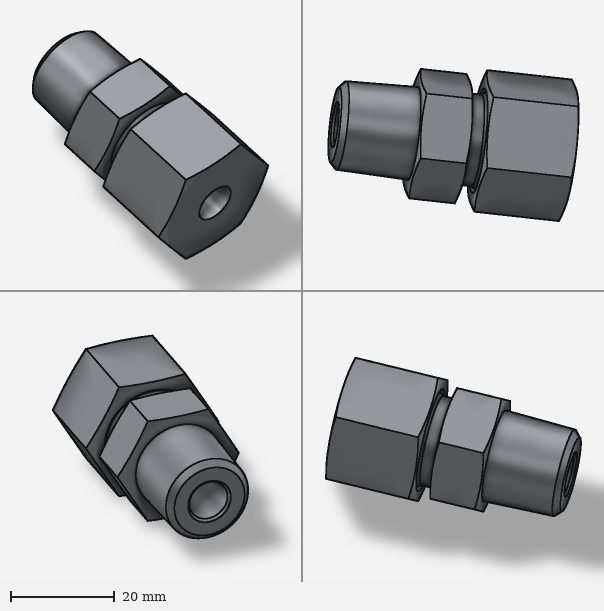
import cadquery as cq
import math


overall_length = 45.5
hex_start = 15.2
hex_end = 25.0
neck_end = 27.6
nut_start = 28.05
nut_end = overall_length

bore_radius = 3.95
bore_mouth_radius = 4.45
bore_mouth_depth = bore_mouth_radius - bore_radius

tip_radius = 7.33
taper_small_radius = 8.6
taper_large_radius = 9.0
tip_chamfer_length = 1.25

neck_radius = 8.85
shank_radius = 9.5
shank_lead_angle = math.radians(30)
shank_start = neck_end + (shank_radius - neck_radius) / math.tan(shank_lead_angle)
shank_engagement = 11.38
shank_end = nut_start + shank_engagement

nut_mouth_radius = 10.15
nut_mouth_depth = nut_mouth_radius - shank_radius

body_across_flats = 21.95
nut_across_flats = 24.0
corner_chamfer_angle = math.radians(15)


def revolve_about_x(profile_points):
    """Revolve a closed (x, radius) outline about the X axis."""
    return cq.Workplane("XY").polyline(profile_points).close().revolve(360, (0, 0, 0), (1, 0, 0))


def chamfered_hexagon(start, end, across_flats):
    """Hexagonal prism whose corners are turned off by a shallow cone at both ends."""
    corner_radius = across_flats / math.sqrt(3)
    face_radius = across_flats / 2
    corner_depth = (corner_radius - face_radius) * math.tan(corner_chamfer_angle)
    prism = cq.Workplane("YZ", origin=(start, 0, 0)).polygon(6, 2 * corner_radius).extrude(end - start)
    envelope = revolve_about_x([
        (start, 0),
        (start, face_radius),
        (start + corner_depth, corner_radius),
        (end - corner_depth, corner_radius),
        (end, face_radius),
        (end, 0),
    ])
    return prism.intersect(envelope)


def make_body():
    """Tapered male end, hexagon, neck and shank around a straight bore."""
    turned_blank = revolve_about_x([
        (0, 0),
        (0, tip_radius),
        (tip_chamfer_length, taper_small_radius),
        (hex_start, taper_large_radius),
        (hex_start, neck_radius),
        (neck_end, neck_radius),
        (shank_start, shank_radius),
        (shank_end, shank_radius),
        (shank_end, 0),
    ])
    bore = revolve_about_x([
        (0, 0),
        (0, bore_mouth_radius),
        (bore_mouth_depth, bore_radius),
        (shank_end, bore_radius),
        (shank_end, 0),
    ])
    hexagon = chamfered_hexagon(hex_start, hex_end, body_across_flats)
    return turned_blank.union(hexagon).cut(bore)


def make_nut():
    """Hexagonal nut with a countersunk recess for the shank and the bore carried on through it."""
    hexagon = chamfered_hexagon(nut_start, nut_end, nut_across_flats)
    recess_and_bore = revolve_about_x([
        (nut_start, 0),
        (nut_start, nut_mouth_radius),
        (nut_start + nut_mouth_depth, shank_radius),
        (shank_end, shank_radius),
        (shank_end, bore_radius),
        (nut_end, bore_radius),
        (nut_end, 0),
    ])
    return hexagon.cut(recess_and_bore)


fitting_body = make_body()
union_nut = make_nut()

result = cq.Compound.makeCompound([fitting_body.val(), union_nut.val()])